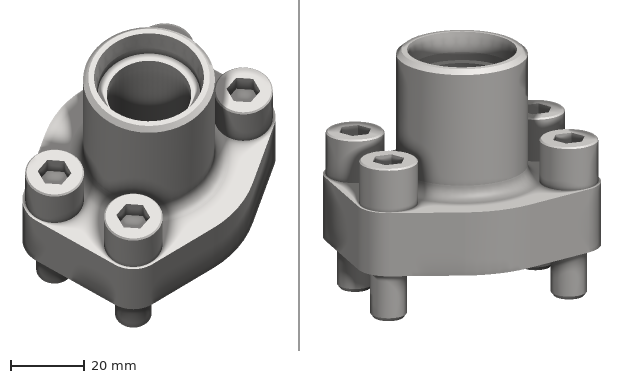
import cadquery as cq
import math

plate_width = 59.0
plate_length = 70.0
plate_thickness = 18.2
flank_radius = plate_width / 2

screw_spacing_x = 26.2
screw_spacing_y = 52.4
corner_radius = (plate_length - screw_spacing_y) / 2

neck_diameter = 36.0
neck_top = 55.0
neck_chamfer_width = (neck_diameter - 33.1) / 2
neck_chamfer_height = 1.2
root_fillet = 3.8

bore_diameter = 23.0
counterbore_diameter = 28.0
mouth_diameter = 29.95
mouth_depth = 5.5
counterbore_depth = 7.85

head_diameter = 16.0
head_height = 12.4
head_chamfer = 0.4
shank_diameter = 10.0
shank_length = 14.5
tip_chamfer_width = 0.85
tip_chamfer_height = 1.1
socket_across_flats = 8.0
socket_depth = 5.0


def polar(center, radius, angle):
    return (center[0] + radius * math.cos(angle), center[1] + radius * math.sin(angle))


def make_plate():
    """Plate whose straight sides are tangent to the flank and corner arcs."""
    corner_x = screw_spacing_x / 2
    corner_y = screw_spacing_y / 2
    center_distance = math.hypot(corner_x, corner_y)
    center_angle = math.atan2(corner_y, corner_x)
    normal = center_angle - math.acos((flank_radius - corner_radius) / center_distance)

    corner = (corner_x, corner_y)
    flank_x, flank_y = polar((0, 0), flank_radius, normal)
    side_x, side_y = polar(corner, corner_radius, normal)
    mid_x, mid_y = polar(corner, corner_radius, (normal + math.pi / 2) / 2)
    end_y = plate_length / 2

    return (
        cq.Workplane("XY")
        .moveTo(flank_x, -flank_y)
        .threePointArc((flank_radius, 0), (flank_x, flank_y))
        .lineTo(side_x, side_y)
        .threePointArc((mid_x, mid_y), (corner_x, end_y))
        .lineTo(-corner_x, end_y)
        .threePointArc((-mid_x, mid_y), (-side_x, side_y))
        .lineTo(-flank_x, flank_y)
        .threePointArc((-flank_radius, 0), (-flank_x, -flank_y))
        .lineTo(-side_x, -side_y)
        .threePointArc((-mid_x, -mid_y), (-corner_x, -end_y))
        .lineTo(corner_x, -end_y)
        .threePointArc((mid_x, -mid_y), (side_x, -side_y))
        .close()
        .extrude(plate_thickness)
    )


def revolve_about_z(profile):
    """Revolve an XZ sketch, drawn as radius and height, about the Z axis."""
    return profile.close().revolve(360, (0, 0, 0), (0, 1, 0))


def make_neck():
    """Chamfered tube body with a concave fillet at its root, solid inside."""
    radius = neck_diameter / 2
    arc_offset = root_fillet * (1 - math.sqrt(0.5))
    profile = (
        cq.Workplane("XZ")
        .lineTo(radius + root_fillet, 0)
        .lineTo(radius + root_fillet, plate_thickness)
        .threePointArc(
            (radius + arc_offset, plate_thickness + arc_offset),
            (radius, plate_thickness + root_fillet),
        )
        .lineTo(radius, neck_top - neck_chamfer_height)
        .lineTo(radius - neck_chamfer_width, neck_top)
        .lineTo(0, neck_top)
    )
    return revolve_about_z(profile)


def make_bore():
    """Volume removed by the stepped through bore."""
    profile = (
        cq.Workplane("XZ")
        .lineTo(bore_diameter / 2, 0)
        .lineTo(bore_diameter / 2, neck_top - counterbore_depth)
        .lineTo(counterbore_diameter / 2, neck_top - counterbore_depth)
        .lineTo(counterbore_diameter / 2, neck_top - mouth_depth)
        .lineTo(mouth_diameter / 2, neck_top)
        .lineTo(0, neck_top)
    )
    return revolve_about_z(profile)


def make_screw():
    """Cap screw on the Z axis, running through the plate."""
    head_radius = head_diameter / 2
    shank_radius = shank_diameter / 2
    head_top = plate_thickness + head_height
    profile = (
        cq.Workplane("XZ")
        .moveTo(0, -shank_length)
        .lineTo(shank_radius - tip_chamfer_width, -shank_length)
        .lineTo(shank_radius, tip_chamfer_height - shank_length)
        .lineTo(shank_radius, plate_thickness)
        .lineTo(head_radius, plate_thickness)
        .lineTo(head_radius, head_top - head_chamfer)
        .lineTo(head_radius - head_chamfer, head_top)
        .lineTo(0, head_top)
    )
    return revolve_about_z(profile)


def make_socket():
    """Hexagonal drive recess with two corners along Y."""
    across_corners = socket_across_flats / math.cos(math.pi / 6)
    return (
        cq.Workplane("XY")
        .workplane(offset=plate_thickness + head_height - socket_depth)
        .transformed(rotate=(0, 0, 90))
        .polygon(6, across_corners)
        .extrude(socket_depth)
    )


result = make_plate().union(make_neck()).cut(make_bore())

for x in (-screw_spacing_x / 2, screw_spacing_x / 2):
    for y in (-screw_spacing_y / 2, screw_spacing_y / 2):
        result = result.union(make_screw().translate((x, y, 0)))
        result = result.cut(make_socket().translate((x, y, 0)))